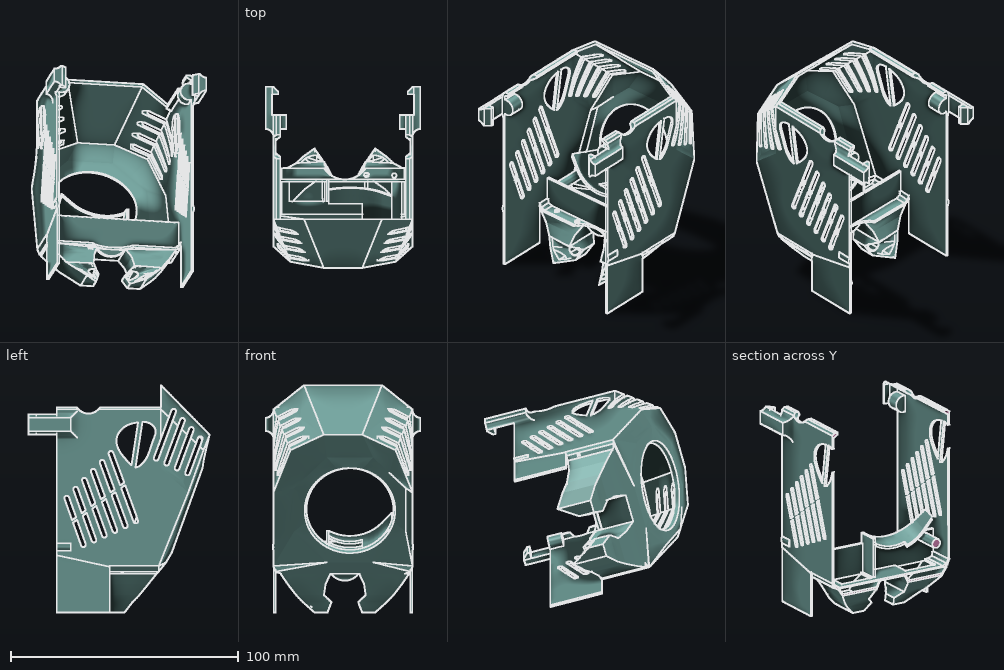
import cadquery as cq
import math

half_width = 30.5
wall = 1.0
floor_z = 17.0
keel_radius = 3.5
skirt_front_y = -23.4
floor_front_y = -43.9
panel_top_z = 89.2
hood_back_y = -45.8
hood_top_z = 99.88
hood_front_y = -67.2

fan_tilt = 20.0
fan_center = (3.04, -56.5, 45.1)
fan_apothem = 24.5
fan_bore = 38.06
fan_rim_diameter = 39.8
fan_frame_rise = 0.9
rim_facet_angle = 15.5

back_wall_y = -28.3
back_wall_top_z = 31.3
clearance = 1.0

tilt_sin = math.sin(math.radians(fan_tilt))
tilt_cos = math.cos(math.radians(fan_tilt))
fan_plane = cq.Plane(origin=fan_center, xDir=(1, 0, 0), normal=(0, -tilt_cos, -tilt_sin))


def mirrored(shape):
    """The shape together with its reflection in the plane X = 0."""
    return shape.union(shape.mirror("YZ"))


def box(x_range, y_range, z_range):
    """Axis-aligned box between two limits on each axis."""
    size = [high - low for low, high in (x_range, y_range, z_range)]
    low_corner = (x_range[0], y_range[0], z_range[0])
    return cq.Workplane("XY").box(*size, centered=False).translate(low_corner)


def octagon_corner(index):
    """Corner of the fan octagon, counted from the right end of its upper edge."""
    radius = fan_apothem / math.cos(math.pi / 8)
    angle = math.radians(67.5 + 45 * index)
    return fan_plane.toWorldCoords((radius * math.cos(angle), radius * math.sin(angle), 0))


def halfway(a, b):
    return (a + b) * 0.5


def side_points(side):
    """Corners of the shell on one side (side = -1 left, +1 right)."""
    keel_step = keel_radius * (1 - math.sqrt(0.5))
    keel_z = floor_z + keel_radius
    edge_x = side * half_width
    points = {
        "roof_back": (side * 17.1, hood_back_y, hood_top_z),
        "roof_front": (side * 8.45, hood_front_y, 78.1),
        "brow": (side * 23.1, -64.5, 71.3),
        "cheek_top": (edge_x, hood_back_y, panel_top_z),
        "cheek_back": (edge_x, hood_back_y, 63.4),
        "cheek_low": (edge_x, -57.8, 52.7),
        "panel_top": (edge_x, 0, panel_top_z),
        "panel_low": (edge_x, 0, keel_z),
        "skirt_back": (edge_x, 0, 0),
        "skirt_front": (edge_x, skirt_front_y, 0),
    }
    for place, y, lean in (("back", skirt_front_y, 0), ("front", floor_front_y, 1.0)):
        points["keel_high_" + place] = (edge_x, y - lean, keel_z)
        points["keel_mid_" + place] = (edge_x - side * keel_step, y - lean, floor_z + keel_step)
        points["keel_low_" + place] = (edge_x - side * keel_radius, y, floor_z)
    named = {name: cq.Vector(*point) for name, point in points.items()}

    corners = [octagon_corner(i) for i in range(8)]
    order = (1, 2, 3, 4) if side < 0 else (0, 7, 6, 5)
    names = ("oct_top", "oct_high", "oct_low", "oct_bottom")
    named.update({name: corners[i] for name, i in zip(names, order)})
    named["oct_shoulder"] = halfway(named["oct_top"], named["oct_high"])
    return named


side_faces = (
    "roof_back roof_front brow cheek_top",
    "cheek_top brow cheek_low cheek_back",
    "roof_front oct_top oct_shoulder brow",
    "brow oct_shoulder oct_high cheek_low",
    "oct_high oct_low keel_high_front cheek_low",
    "keel_high_front oct_low oct_bottom",
    "oct_bottom keel_low_front keel_mid_front",
    "oct_bottom keel_mid_front keel_high_front",
    "keel_high_back panel_low panel_top cheek_top cheek_back cheek_low keel_high_front",
    "keel_high_back skirt_front skirt_back panel_low",
    "keel_high_back keel_high_front keel_mid_front keel_mid_back",
    "keel_mid_back keel_mid_front keel_low_front keel_low_back",
)
bridging_faces = (
    "roof_back roof_front",
    "roof_front oct_top",
    "oct_bottom keel_low_front",
    "keel_low_front keel_low_back",
)


def shell_facets():
    """Outer skin as flat or warped facets, every one wound so that its normal points outward."""
    left, right = side_points(-1), side_points(1)
    polygons = [[points[name] for name in face.split()] for points in (left, right) for face in side_faces]
    for face in bridging_faces:
        first, second = face.split()
        polygons.append([left[first], left[second], right[second], right[first]])
    ring = []
    for i in range(8):
        ring.append(octagon_corner(i))
        if i in (1, 7):
            ring.append(halfway(octagon_corner(i), octagon_corner((i + 1) % 8)))
    polygons += [[cq.Vector(*fan_center), a, b] for a, b in zip(ring, ring[1:] + ring[:1])]

    inside = cq.Vector(0, -25, 50)
    facets = []
    for polygon in polygons:
        if len(polygon) == 4:
            pieces = [polygon]
        else:
            pieces = [[polygon[0], b, c] for b, c in zip(polygon[1:], polygon[2:])]
        for piece in pieces:
            outward = corner_normal(piece, 1).dot(piece[1] - inside) > 0
            facets.append(piece if outward else piece[::-1])
    return facets


def corner_normal(facet, index):
    """Unit normal of a facet at one of its corners."""
    here, after = facet[index], facet[(index + 1) % len(facet)]
    return (here - facet[index - 1]).cross(after - here).normalized()


def facet_face(facet):
    """Flat face, or a ruled face when four corners do not share a plane."""
    if len(facet) == 4:
        a, b, c, d = facet
        if abs(corner_normal(facet, 1).dot(d - a)) > 1e-6:
            return cq.Face.makeRuledSurface(cq.Edge.makeLine(a, b), cq.Edge.makeLine(d, c))
    return cq.Face.makeFromWires(cq.Wire.makePolygon(facet, close=True))


def thick_skin(facets, thickness):
    """Solid between a faceted skin and the same skin moved inward."""
    def key(point):
        return tuple(round(value, 4) for value in point.toTuple())

    normals = {}
    for facet in facets:
        for index, point in enumerate(facet):
            normal = corner_normal(facet, index)
            known = normals.setdefault(key(point), [])
            if all(normal.dot(other) < 0.97 for other in known):
                known.append(normal)

    def inner(point):
        known = normals[key(point)]
        direction = sum(known[1:], known[0]).normalized()
        spread = sum(direction.dot(normal) for normal in known) / len(known)
        return point - direction * (thickness / spread)

    edges = {}
    skin = []
    for facet in facets:
        skin += [facet, [inner(point) for point in facet]]
        for start, end in zip(facet, facet[1:] + facet[:1]):
            edges[key(start), key(end)] = (start, end)
    for (start_key, end_key), (start, end) in edges.items():
        if (end_key, start_key) not in edges:
            skin.append([start, inner(start), inner(end), end])
    faces = [facet_face(facet) for facet in skin]
    return cq.Workplane(cq.Solid.makeSolid(cq.Shell.makeShell(faces)))


def folded_shell():
    shell = thick_skin(shell_facets(), wall)
    behind_hood = box((-half_width, half_width), (hood_back_y, 0), (panel_top_z, hood_top_z))
    return shell.cut(behind_hood)


def fan_frame():
    """Shallow rise from the octagonal frame outline to the round rim of the bore."""
    octagon = [octagon_corner(i) for i in range(8)]
    rim = fan_plane.origin + fan_plane.zDir * fan_frame_rise
    overlap = 0.1
    rim_radius = fan_rim_diameter / 2 - overlap

    def rim_point(degrees):
        angle = math.radians(degrees)
        offset = fan_plane.xDir * math.cos(angle) + fan_plane.yDir * math.sin(angle)
        return rim + offset * rim_radius

    arcs = []
    for axis in range(90, 450, 90):
        arc_ends = (axis - rim_facet_angle, axis + rim_facet_angle, axis + 90 - rim_facet_angle)
        for start, end in zip(arc_ends, arc_ends[1:]):
            middle = (start + end) / 2
            arcs.append(cq.Edge.makeThreePointArc(rim_point(start), rim_point(middle), rim_point(end)))
    outline = cq.Wire.makePolygon(octagon, close=True)
    rise = cq.Solid.makeLoft([outline, cq.Wire.assembleEdges(arcs)], True)
    backing = cq.Workplane(fan_plane).polyline([fan_plane.toLocalCoords(p) for p in octagon]).close()
    return backing.extrude(-wall / 2).union(cq.Workplane(rise))


def fan_hole():
    bore_depth = 4.0
    rim_depth = fan_frame_rise + wall
    top = fan_frame_rise
    rim_radius = fan_rim_diameter / 2
    half_section = [(0, top - bore_depth), (fan_bore / 2, top - bore_depth), (fan_bore / 2, top - rim_depth),
                    (rim_radius, top), (rim_radius, top + clearance), (0, top + clearance)]
    side_view = cq.Plane(origin=fan_center, xDir=(1, 0, 0), normal=-fan_plane.yDir)
    return cq.Workplane(side_view).polyline(half_section).close().revolve(360, (0, 0, 0), (0, 1, 0))


tube_length = 19.0
tube_left_x = -6.2


def air_guide():
    """Curved wall under the fan axis, straight at its right end, with a window and a left partition."""
    inner_radius = fan_bore / 2
    outer_radius = inner_radius + wall
    straight_start = math.radians(-43)
    straight_end_x = 21.4
    direction = (-math.sin(straight_start), math.cos(straight_start))

    def on_arc(radius, angle):
        return (radius * math.cos(angle), radius * math.sin(angle))

    def straight_end(radius):
        x, y = on_arc(radius, straight_start)
        run = (straight_end_x - fan_center[0] - x) / direction[0]
        return (straight_end_x - fan_center[0], y + run * direction[1])

    left = tube_left_x - fan_center[0]
    left_inner = (left, -math.sqrt(inner_radius ** 2 - left ** 2))
    left_outer = (left, -math.sqrt(outer_radius ** 2 - left ** 2))
    lowest = math.radians(-90)
    guide = (cq.Workplane(fan_plane).workplane(offset=-tube_length).moveTo(*left_inner)
             .threePointArc(on_arc(inner_radius, lowest), on_arc(inner_radius, straight_start))
             .lineTo(*straight_end(inner_radius)).lineTo(*straight_end(outer_radius))
             .lineTo(*on_arc(outer_radius, straight_start))
             .threePointArc(on_arc(outer_radius, lowest), left_outer)
             .close().extrude(tube_length - wall / 2))
    partition_front_y = -38.0
    partition_top_z = 36.0
    partition = box((tube_left_x - wall, tube_left_x), (partition_front_y, back_wall_y),
                    (floor_z, partition_top_z))
    window_right_x = 8.0
    window_rear_y = -39.0
    fan_frame_margin = 4.0
    window = (cq.Workplane(fan_plane).workplane(offset=-tube_length)
              .center((tube_left_x + window_right_x) / 2 - fan_center[0], -fan_apothem / 2)
              .rect(window_right_x - tube_left_x + clearance, fan_apothem)
              .extrude(tube_length - fan_frame_margin))
    window = window.intersect(box((-half_width, half_width), (hood_front_y, window_rear_y), (0, hood_top_z)))
    return guide.cut(window).union(partition)


column_diameter = 4.3
column_x = 23.55
column_z = 29.0


def inner_walls():
    """Wall across the housing, narrower where the keel is rounded, and the round column in front of it."""
    depth = (back_wall_y - wall, back_wall_y)
    full_half = half_width - wall / 2
    narrow_half = full_half - wall
    keel_z = floor_z + keel_radius
    rear = box((-full_half, full_half), depth, (keel_z, back_wall_top_z))
    rear = rear.union(box((-narrow_half, narrow_half), depth, (floor_z + wall / 2, keel_z)))
    column_length = 19.6
    column = (cq.Workplane("XZ", origin=(column_x, back_wall_y, column_z))
              .circle(column_diameter / 2).extrude(column_length))
    return rear.union(column)


nozzle_x = 0.8
duct_wall = 0.9
outlet_diameter = 4.2
lamp_hole_diameter = 2.0


def duct_solid(inset, floor_overlap):
    """Left air duct as a stack of four-cornered sections, every corner moved inward by the inset."""
    inner_x, outer_x = -5.5, -27.4
    mouth = ((outer_x, skirt_front_y), (inner_x, -26.7), (inner_x, floor_front_y), (outer_x, floor_front_y))
    sections = (
        (floor_z + floor_overlap, mouth),
        (floor_z, mouth),
        (12.5, ((-24.3, -23.2), (-7.6, -23.4), (-7.6, -40.3), (-24.3, -40.3))),
        (7.7, ((-20.6, -21.2), (-8.3, -20.5), (-8.3, -36.4), (-20.6, -36.4))),
        (4.6, ((-17.6, -18.4), (-5.0, -26.5), (-5.0, -33.4), (-17.6, -33.4))),
        (0.0, ((-12.5, -14.7), (-6.8, -23.0), (-6.8, -29.8), (-12.5, -29.8))),
    )
    wires = []
    for z, corners in sections:
        middle_x = sum(x for x, _ in corners) / len(corners)
        middle_y = sum(y for _, y in corners) / len(corners)
        level = max(z, inset)
        wire = []
        for x, y in corners:
            inset_x = x - math.copysign(inset, x - middle_x)
            inset_y = y - math.copysign(inset, y - middle_y)
            wire.append(cq.Vector(inset_x, inset_y, level))
        wires.append(cq.Wire.makePolygon(wire, close=True))
    return cq.Workplane(cq.Solid.makeLoft(wires, True))


def duct_passage():
    """Air path of the left duct: its mouth in the floor, its cavity and the outlet facing the nozzle."""
    mouth = box((-23.5, -8.0), (-38.0, back_wall_y - wall), (floor_z - wall / 2, floor_z + 2 * wall))
    outlet_start = cq.Vector(-11.0, -25.5, 4.0)
    outlet_length = 10.0
    toward_nozzle = cq.Vector(1, 0.45, 0)
    outlet = cq.Solid.makeCylinder(outlet_diameter / 2, outlet_length, outlet_start, toward_nozzle)
    return duct_solid(duct_wall, wall / 4).union(mouth).union(cq.Workplane(outlet))


def both_ducts(left):
    """The left shape and its reflection across the nozzle."""
    return left.union(left.mirror("YZ", (nozzle_x, 0, 0)))


def nozzle_notch():
    notch_radius = 11.0
    notch_center_y = back_wall_y + notch_radius
    return (cq.Workplane("XY", origin=(nozzle_x, notch_center_y, floor_z - wall))
            .circle(notch_radius).extrude(3 * wall))


def nozzle_lip():
    """Round lip hanging below the floor in front of the notch."""
    lip_radius = 7.5
    lip_drop = 3.0
    lip_length = 1.5
    lip = (cq.Workplane("XZ", origin=(nozzle_x, back_wall_y, floor_z - lip_drop + lip_radius))
           .circle(lip_radius).extrude(lip_length))
    below = box((-half_width, half_width), (floor_front_y, 0), (0, floor_z + wall / 2))
    return lip.intersect(below)


def lamp_holes():
    """Two small holes through the floor on the right."""
    places = [(10.3, -26.3), (22.5, -26.6)]
    return (cq.Workplane("XY", origin=(0, 0, floor_z - wall)).pushPoints(places)
            .circle(lamp_hole_diameter / 2).extrude(3 * wall))


arm_end_y = 12.36
arm_outer_x = 34.005
arm_inner_x = 31.1
arm_z = 82.6
arm_flat = 5.9
arm_block_y = -9.75
hook_depth = 3.4
hook_reach = 28.4


def latch_arm():
    """Left arm: blends into the panel with hollow curves and ends in an inward hook."""
    root_x = half_width - wall / 2
    cove = arm_outer_x - half_width
    root_half = arm_flat / 2 + cove
    blank = box((-arm_outer_x, -root_x), (arm_block_y, arm_end_y), (arm_z - root_half, arm_z + root_half))
    for direction in (-1, 1):
        hollow = (cq.Workplane("XZ", origin=(-arm_outer_x, arm_end_y, arm_z + direction * root_half))
                  .circle(cove).extrude(arm_end_y - arm_block_y))
        blank = blank.cut(hollow)
    front_hollow = (cq.Workplane("XY", origin=(-arm_outer_x, arm_block_y, arm_z - root_half))
                    .circle(cove).extrude(2 * root_half))
    free_side = box((-arm_inner_x, 0), (0, arm_end_y), (0, hood_top_z))
    arm = blank.cut(front_hollow).cut(free_side)

    hook_half = root_half - math.sqrt(cove ** 2 - (arm_outer_x - arm_inner_x) ** 2)
    slope = arm_inner_x - wall / 2 - hook_reach
    hook = (cq.Workplane("XY", origin=(0, 0, arm_z - hook_half))
            .polyline([(-arm_inner_x, arm_end_y), (-hook_reach - slope, arm_end_y),
                       (-hook_reach, arm_end_y - slope), (-hook_reach, arm_end_y - hook_depth),
                       (-arm_inner_x, arm_end_y - hook_depth)])
            .close().extrude(2 * hook_half))
    return arm.union(hook)


fitting_length = 6.3


def guide_peg():
    """Round-nosed peg inside the left panel, level with the arm."""
    peg_radius = 3.8
    peg_tip_x = 24.8
    peg_axis_x = peg_tip_x + peg_radius
    peg = cq.Workplane("XZ", origin=(-peg_axis_x, 0, arm_z)).circle(peg_radius).extrude(fitting_length)
    inside = box((-half_width + wall / 2, 0), (-fitting_length, 0), (0, hood_top_z))
    return peg.intersect(inside)


def detent():
    """Low rounded bump outside the left panel."""
    rise = 0.4
    detent_height = 3.2
    detent_z = 28.8
    radius = ((detent_height / 2) ** 2 + rise ** 2) / (2 * rise)
    bump = (cq.Workplane("XZ", origin=(-half_width - rise + radius, 0, detent_z))
            .circle(radius).extrude(fitting_length))
    outside = box((-arm_outer_x, -half_width + wall / 2), (-fitting_length, 0), (0, panel_top_z))
    return bump.intersect(outside)


rail_width = 3.0
rail_rise = 1.0
cut_start_x = -half_width - clearance
panel_cut_depth = wall + 2 * clearance


def top_rail():
    """Inward rail along the top of the left panel, bevelled on its outer and lower edges."""
    rail_drop = 1.2
    bevel_width = 1.3
    inner_x = -half_width + rail_width
    panel_inner_x = -half_width + wall
    return (cq.Workplane("XZ")
            .polyline([(-half_width, panel_top_z), (-half_width + bevel_width, panel_top_z + rail_rise),
                       (inner_x, panel_top_z + rail_rise), (inner_x, panel_top_z),
                       (panel_inner_x, panel_top_z - rail_drop), (-half_width, panel_top_z - rail_drop)])
            .close().extrude(-hood_back_y))


def rail_gap():
    """Round dip through the rail, softened where it meets the top of the rail."""
    gap_y = -14.0
    half_gap = 5.2
    gap_bottom_z = 87.4
    top_z = panel_top_z + rail_rise
    above_z = top_z + clearance
    half_dip = half_gap - 0.8
    shoulder_z = top_z - 0.9
    return (cq.Workplane("YZ", origin=(cut_start_x, 0, 0))
            .moveTo(gap_y - half_gap, top_z).lineTo(gap_y - half_dip, shoulder_z)
            .threePointArc((gap_y, gap_bottom_z), (gap_y + half_dip, shoulder_z))
            .lineTo(gap_y + half_gap, top_z).lineTo(gap_y + half_gap, above_z)
            .lineTo(gap_y - half_gap, above_z).close().extrude(rail_width + 2 * clearance))


slot_width = 2.0


def slanted_slot(top, bottom, depth):
    """Slot cut inward from outside the left panel, whose rounded ends have the given centres."""
    (top_y, top_z), (bottom_y, bottom_z) = top, bottom
    span = math.hypot(top_y - bottom_y, top_z - bottom_z)
    angle = math.degrees(math.atan2(top_z - bottom_z, top_y - bottom_y))
    return (cq.Workplane("YZ", origin=(cut_start_x, (top_y + bottom_y) / 2, (top_z + bottom_z) / 2))
            .slot2D(span + slot_width, slot_width, angle).extrude(depth))


def spaced(first, last, count):
    """Points evenly spaced from first to last."""
    return [tuple(a + (b - a) * i / (count - 1) for a, b in zip(first, last)) for i in range(count)]


def side_grille():
    """Six slanted slots in the left panel, interrupted by a diagonal bar."""
    tops = spaced((-4.5, 50.3), (-23.9, 69.9), 6)
    bottoms = spaced((-11.8, 29.8), (-34.8, 40.2), 6)
    bar_start, bar_end = (-4.5, 38.2), (-33.5, 59.1)
    slots = slanted_slot(tops[0], bottoms[0], panel_cut_depth)
    for top, bottom in zip(tops[1:], bottoms[1:]):
        slots = slots.union(slanted_slot(top, bottom, panel_cut_depth))
    bar_width = 1.2
    bar_length = 60.0
    bar_angle = math.degrees(math.atan2(bar_end[1] - bar_start[1], bar_end[0] - bar_start[0]))
    bar_middle = (cut_start_x, (bar_start[0] + bar_end[0]) / 2, (bar_start[1] + bar_end[1]) / 2)
    bar = (cq.Workplane("YZ", origin=bar_middle).transformed(rotate=(0, 0, bar_angle))
           .rect(bar_length, bar_width).extrude(panel_cut_depth))
    return slots.cut(bar)


def cheek_slots():
    """Four slanted slots through the left edge of the hood."""
    cheek_cut_depth = 16.5
    tops = spaced((-51.4, 88.4), (-63.1, 76.4), 4)
    bottoms = spaced((-43.7, 67.7), (-57.5, 61.3), 4)
    slots = cq.Workplane("XY")
    for top, bottom in zip(tops, bottoms):
        slots = slots.union(slanted_slot(top, bottom, cheek_cut_depth))
    return slots


def teardrop_vent():
    """Teardrop opening in the left panel, crossed by one slanted bar."""
    vent = (cq.Workplane("YZ", origin=(cut_start_x, 0, 0)).moveTo(-34.2, 63.6)
            .spline([(-30.2, 67.5), (-26.4, 76.4), (-29.6, 81.3), (-36.0, 83.5), (-40.6, 83.2),
                     (-43.3, 80.5), (-42.2, 75.2), (-39.0, 67.1), (-36.2, 64.2)], includeCurrent=True)
            .close().extrude(panel_cut_depth))
    bar_top, bar_bottom = (-36.8, 84.0), (-33.6, 63.0)
    half_bar = 1.0
    bar = (cq.Workplane("YZ", origin=(cut_start_x, 0, 0))
           .polyline([(bar_top[0] - half_bar, bar_top[1]), (bar_top[0] + half_bar, bar_top[1]),
                      (bar_bottom[0] + half_bar, bar_bottom[1]), (bar_bottom[0] - half_bar, bar_bottom[1])])
           .close().extrude(panel_cut_depth))
    return vent.cut(bar)


def skirt_relief():
    """The skirt sits slightly inside the panel, below a sloping step."""
    step = 0.1
    step_back_z, step_front_z = 25.2, 20.1
    return (cq.Workplane("YZ", origin=(cut_start_x, 0, 0))
            .polyline([(0, step_back_z), (skirt_front_y, step_front_z), (skirt_front_y, 0), (0, 0)])
            .close().extrude(clearance + step))


body = folded_shell().union(mirrored(top_rail())).union(fan_frame())
body = body.union(air_guide()).union(inner_walls()).cut(fan_hole())
body = body.union(both_ducts(duct_solid(0, wall / 2))).union(nozzle_lip())
body = body.cut(both_ducts(duct_passage())).cut(nozzle_notch()).cut(lamp_holes())
for fitting in (latch_arm, guide_peg, detent):
    body = body.union(mirrored(fitting()))
for opening in (rail_gap, side_grille, cheek_slots, teardrop_vent, skirt_relief):
    body = body.cut(mirrored(opening()))
result = body